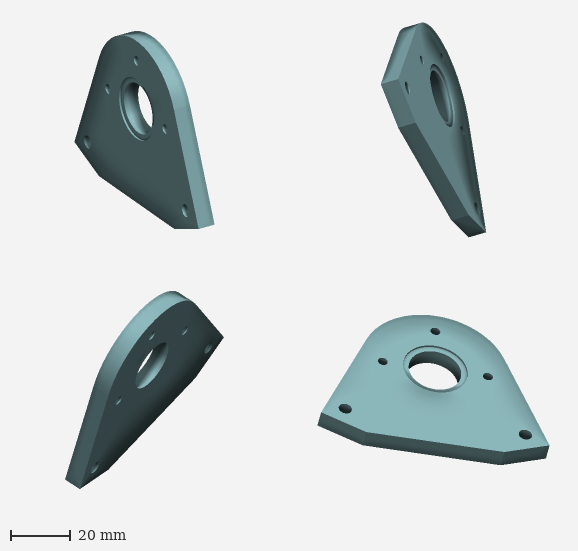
import cadquery as cq
import math

width = 78.15
height = 60.3
thickness = 6.3
crown_radius = 25.4
corner_height = 6.3
bottom_edge_length = 47.2

bore_diameter = 18.0
recess_diameter = 22.0
recess_depth = 0.7

small_hole_diameter = 3.35
small_hole_circle_radius = 18.0
foot_hole_diameter = 4.5
foot_hole_spacing = 61.6
foot_hole_height = 9.8

half_width = width / 2
half_bottom = bottom_edge_length / 2
bore_height = height - crown_radius

corner_drop = bore_height - corner_height
corner_distance = math.hypot(half_width, corner_drop)
corner_angle = math.atan2(-corner_drop, half_width)
tangent_angle = corner_angle + math.acos(crown_radius / corner_distance)
tangent_x = crown_radius * math.cos(tangent_angle)
tangent_z = bore_height + crown_radius * math.sin(tangent_angle)


def make_plate():
    return (
        cq.Workplane("XZ")
        .moveTo(-half_bottom, 0)
        .lineTo(half_bottom, 0)
        .lineTo(half_width, corner_height)
        .lineTo(tangent_x, tangent_z)
        .threePointArc((0, height), (-tangent_x, tangent_z))
        .lineTo(-half_width, corner_height)
        .close()
        .extrude(-thickness)
    )


def cylinder_from_front(centers, diameter, depth):
    """Cylinders that start at the front face and run toward +Y."""
    return cq.Workplane("XZ").pushPoints(centers).circle(diameter / 2).extrude(-depth)


bore_center = [(0, bore_height)]
small_hole_centers = [
    (-small_hole_circle_radius, bore_height),
    (0, bore_height + small_hole_circle_radius),
    (small_hole_circle_radius, bore_height),
]
foot_hole_centers = [(side * foot_hole_spacing / 2, foot_hole_height) for side in (-1, 1)]

result = (
    make_plate()
    .cut(cylinder_from_front(bore_center, bore_diameter, thickness))
    .cut(cylinder_from_front(bore_center, recess_diameter, recess_depth))
    .cut(cylinder_from_front(small_hole_centers, small_hole_diameter, thickness))
    .cut(cylinder_from_front(foot_hole_centers, foot_hole_diameter, thickness))
)